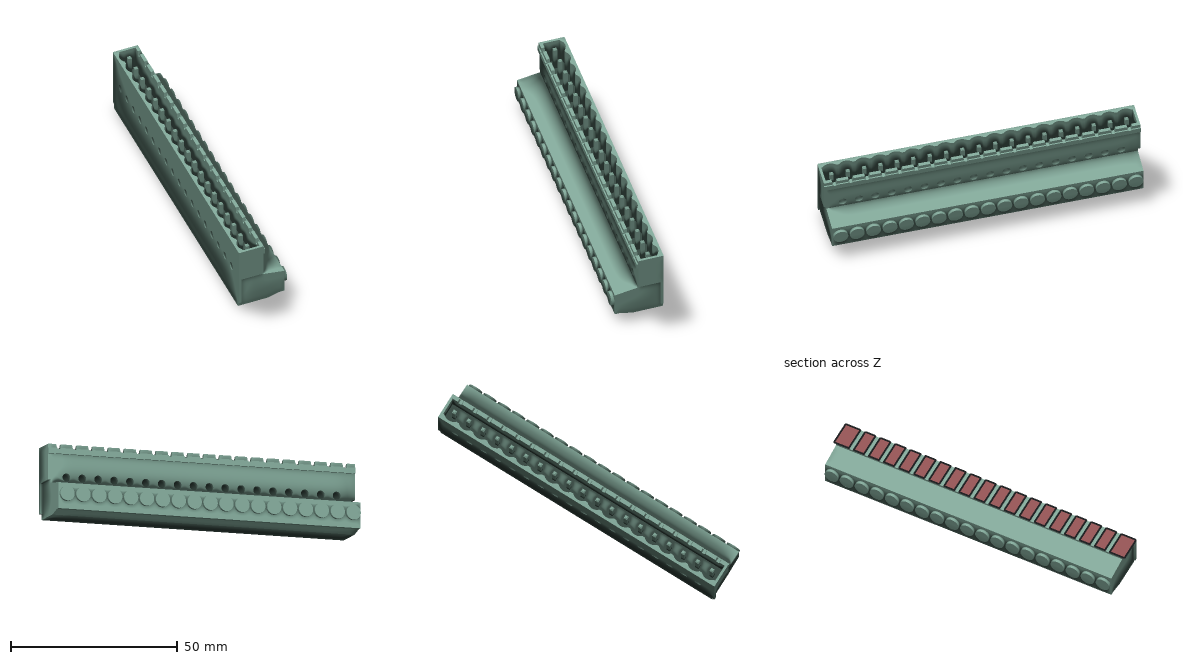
import cadquery as cq


LENGTH = 98.1
HEIGHT = 22.0
DEPTH = 16.2

POLES = 19
BODY_LENGTH = 96.6
BODY_START = (LENGTH - BODY_LENGTH) / 2
PITCH = BODY_LENGTH / POLES
FIRST_POLE = BODY_START + PITCH / 2

BODY_DEPTH = 15.2
BODY_TOP_INNER = 10.1
BODY_TOP_OUTER = 8.9
BODY_BASE_DEPTH = 9.6
UNDERCUT_DEPTH = 13.6
UNDERCUT_HEIGHT = 1.0

SHROUD_DEPTH = 7.9
SHROUD_BOTTOM = 11.0
PLATE_THICKNESS = 0.9
PLATE_BOTTOM = 1.8

RIM_DEPTH = 8.1
LIP_DEPTH = 8.5
LIP_BOTTOM = 19.0
LIP_TOP = 20.8

CAVITY_FLOOR = 13.5
CAVITY_BACK = 7.1
SCALLOP_EDGE = 1.7
SCALLOP_TROUGH = 0.8
SCALLOP_WIDTH = 4.2

NOTCH_BOTTOM = 20.5
NOTCH_TOP_WIDTH = 1.6
NOTCH_FLOOR_WIDTH = 0.9

PIN_SIZE = 1.2
PIN_Y = 4.0
PIN_TOP = 21.5
PIN_TIP_CHAMFER = 0.4

CLAMP_DIAMETER = 4.5
CLAMP_Z = 5.6

HOLE_DIAMETER = 2.5
HOLE_Z = 12.0

pole_positions = [FIRST_POLE + i * PITCH for i in range(POLES)]
hole_positions = [x + PITCH / 2 for x in pole_positions[:-1]]


def block(x_range, y_range, z_range):
    """Box spanning the given (low, high) ranges."""
    (x0, x1), (y0, y1), (z0, z1) = x_range, y_range, z_range
    return cq.Workplane("XY").box(x1 - x0, y1 - y0, z1 - z0, centered=False).translate((x0, y0, z0))


def lower_body():
    """Clamp housing: a side profile extruded along the row."""
    profile = [
        (0, 0),
        (BODY_BASE_DEPTH, 0),
        (UNDERCUT_DEPTH, UNDERCUT_HEIGHT),
        (BODY_DEPTH, UNDERCUT_HEIGHT),
        (BODY_DEPTH, BODY_TOP_OUTER),
        (SHROUD_DEPTH, BODY_TOP_INNER),
        (SHROUD_DEPTH, SHROUD_BOTTOM),
        (0, SHROUD_BOTTOM),
    ]
    return cq.Workplane("YZ", origin=(BODY_START, 0, 0)).polyline(profile).close().extrude(BODY_LENGTH)


def shroud():
    """Solid upper block with its front plate and the lip along the back."""
    full = (0, LENGTH)
    upper = block(full, (0, SHROUD_DEPTH), (SHROUD_BOTTOM, HEIGHT))
    plate = block(full, (0, PLATE_THICKNESS), (PLATE_BOTTOM, HEIGHT))
    lip = block(full, (0, LIP_DEPTH), (LIP_BOTTOM, LIP_TOP))
    rim = block(full, (0, RIM_DEPTH), (LIP_TOP, HEIGHT))
    return upper.union(plate).union(lip).union(rim)


def cavity():
    """Open-topped pocket whose front side has one scallop per pole."""
    body_end = BODY_START + BODY_LENGTH
    outline = cq.Workplane("XY", origin=(0, 0, CAVITY_FLOOR))
    outline = outline.moveTo(body_end, CAVITY_BACK).lineTo(BODY_START, CAVITY_BACK)
    outline = outline.lineTo(BODY_START, SCALLOP_EDGE)
    for x in pole_positions:
        outline = outline.lineTo(x - SCALLOP_WIDTH / 2, SCALLOP_EDGE)
        outline = outline.threePointArc((x, SCALLOP_TROUGH), (x + SCALLOP_WIDTH / 2, SCALLOP_EDGE))
    return outline.lineTo(body_end, SCALLOP_EDGE).close().extrude(HEIGHT - CAVITY_FLOOR)


def notches():
    """Tapered notches through the top of the back wall."""
    row = cq.Workplane("XZ", origin=(0, LIP_DEPTH, 0))
    for x in pole_positions:
        row = row.polyline(
            [
                (x - NOTCH_FLOOR_WIDTH / 2, NOTCH_BOTTOM),
                (x + NOTCH_FLOOR_WIDTH / 2, NOTCH_BOTTOM),
                (x + NOTCH_TOP_WIDTH / 2, HEIGHT),
                (x - NOTCH_TOP_WIDTH / 2, HEIGHT),
            ]
        ).close()
    return row.extrude(LIP_DEPTH - CAVITY_BACK)


def pins():
    """Square contact pins with chamfered tips, rooted below the cavity floor."""
    return (
        cq.Workplane("XY", origin=(0, 0, SHROUD_BOTTOM))
        .pushPoints([(x, PIN_Y) for x in pole_positions])
        .rect(PIN_SIZE, PIN_SIZE)
        .extrude(PIN_TOP - SHROUD_BOTTOM)
        .faces(">Z")
        .chamfer(PIN_TIP_CHAMFER)
    )


def cylinders(positions, z, diameter, y_start, y_end):
    """Row of cylinders lying along Y."""
    return (
        cq.Workplane("XZ", origin=(0, y_end, 0))
        .pushPoints([(x, z) for x in positions])
        .circle(diameter / 2)
        .extrude(y_end - y_start)
    )


housing = lower_body().union(shroud())
housing = housing.cut(cavity()).cut(notches())
clamps = cylinders(pole_positions, CLAMP_Z, CLAMP_DIAMETER, BODY_DEPTH, DEPTH)
holes = cylinders(hole_positions, HOLE_Z, HOLE_DIAMETER, 0, DEPTH)
result = housing.union(pins()).union(clamps).cut(holes)